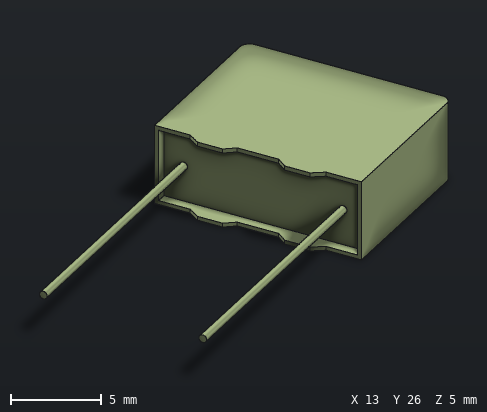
import cadquery as cq

total_length = 26.0
case_width = 13.0
case_height = 5.0
case_depth = 10.45
corner_radius = 0.62

wall = 0.25
recess_depth = 0.62

tab_height = 0.5
tab_root_inner = 1.3
tab_root_outer = 4.26
tab_tip_inner = 1.95
tab_tip_outer = 3.54

lead_diameter = 0.5
lead_pitch = 10.0

back_y = total_length / 2
rim_y = back_y - case_depth
floor_y = rim_y + recess_depth
lead_end_y = -total_length / 2


def make_case():
    """Block with rounded rear corners and a shallow recess in its front face."""
    block = (
        cq.Workplane("XY")
        .box(case_width, case_depth, case_height)
        .translate((0, rim_y + case_depth / 2, 0))
        .edges("|Z and >Y")
        .fillet(corner_radius)
    )
    recess = (
        cq.Workplane("XY")
        .box(case_width - 2 * wall, recess_depth, case_height - 2 * wall)
        .translate((0, rim_y + recess_depth / 2, 0))
    )
    return block.cut(recess)


def make_tab(side, bottom_z):
    """Tapered tab on one side of X, rooted in the recess wall."""
    tip_y = rim_y - tab_height
    outline = [
        (side * tab_root_inner, floor_y),
        (side * tab_root_inner, rim_y),
        (side * tab_tip_inner, tip_y),
        (side * tab_tip_outer, tip_y),
        (side * tab_root_outer, rim_y),
        (side * tab_root_outer, floor_y),
    ]
    return cq.Workplane("XY").workplane(offset=bottom_z).polyline(outline).close().extrude(wall)


def make_lead(side):
    """Round wire running from the recess floor to the -Y end."""
    return (
        cq.Workplane("XZ", origin=(side * lead_pitch / 2, floor_y, 0))
        .circle(lead_diameter / 2)
        .extrude(floor_y - lead_end_y)
    )


result = make_case()
for side in (-1, 1):
    result = result.union(make_lead(side))
    for bottom_z in (-case_height / 2, case_height / 2 - wall):
        result = result.union(make_tab(side, bottom_z))